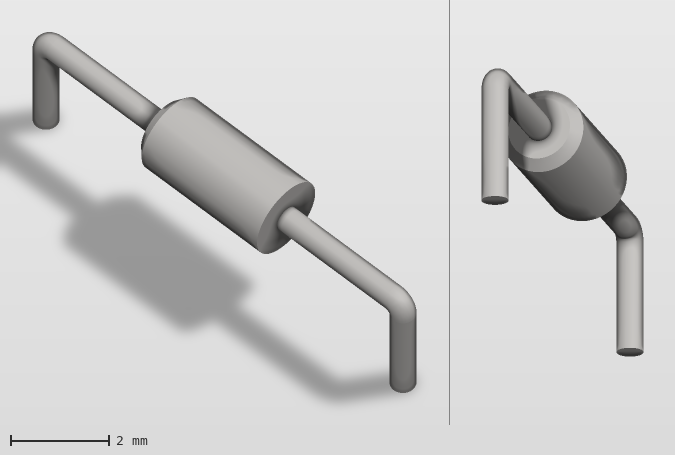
import cadquery as cq

span = 10.45
height = 3.5
lead_diameter = 0.55
bend_radius = 0.28
housing_diameter = 1.75
housing_length = 3.42
housing_chamfer = 0.22

lead_radius = lead_diameter / 2
axis_height = height - housing_diameter / 2
leg_length = axis_height - bend_radius
leg_x = span / 2 - lead_radius
bend_start_x = leg_x - bend_radius
housing_end_x = housing_length / 2


def make_housing():
    """Cylinder along X with one chamfered rim, at the -X end."""
    return (
        cq.Workplane("YZ", origin=(-housing_end_x, 0, axis_height))
        .circle(housing_diameter / 2)
        .extrude(housing_length)
        .faces("<X")
        .chamfer(housing_chamfer)
    )


def make_lead(side):
    """Bent lead at the +X end (side = 1) or the -X end (side = -1)."""
    leg = cq.Workplane("XY", origin=(leg_x, 0, 0)).circle(lead_radius).extrude(leg_length)
    bend = (
        cq.Workplane("XY", origin=(leg_x, 0, leg_length))
        .circle(lead_radius)
        .revolve(90, (-bend_radius, 0, 0), (-bend_radius, -1, 0))
    )
    arm = (
        cq.Workplane("YZ", origin=(housing_end_x, 0, axis_height))
        .circle(lead_radius)
        .extrude(bend_start_x - housing_end_x)
    )
    lead = leg.union(bend).union(arm)
    if side < 0:
        lead = lead.mirror("YZ")
    return lead.solids()


housing = make_housing()
leads = [make_lead(side) for side in (-1, 1)]

result = cq.Compound.makeCompound([housing.val(), *[lead.val() for lead in leads]])